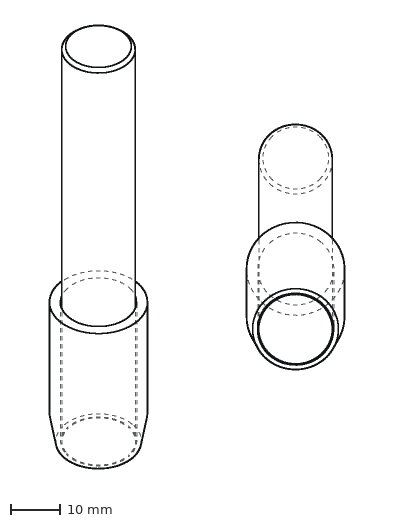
import cadquery as cq

total_height = 105.0

sleeve_diameter = 20.0
sleeve_height = 37.0
nose_height = 7.5
nose_end_diameter = 17.5

pin_diameter = 15.0
pin_chamfer = 0.8

radial_clearance = 0.25
bore_diameter = pin_diameter + 2 * radial_clearance


def make_sleeve():
    """Tube whose outside narrows to a tapered nose at the bottom."""
    bore_radius = bore_diameter / 2
    sleeve_radius = sleeve_diameter / 2
    nose_end_radius = nose_end_diameter / 2
    return (
        cq.Workplane("XZ")
        .moveTo(bore_radius, 0)
        .lineTo(nose_end_radius, 0)
        .lineTo(sleeve_radius, nose_height)
        .lineTo(sleeve_radius, sleeve_height)
        .lineTo(bore_radius, sleeve_height)
        .close()
        .revolve(360, (0, 0, 0), (0, 1, 0))
    )


def make_pin():
    """Plain round pin through the full height, chamfered at its top end."""
    return (
        cq.Workplane("XY")
        .circle(pin_diameter / 2)
        .extrude(total_height)
        .faces(">Z")
        .edges()
        .chamfer(pin_chamfer)
    )


sleeve = make_sleeve()
pin = make_pin()

result = cq.Compound.makeCompound([sleeve.val(), pin.val()])